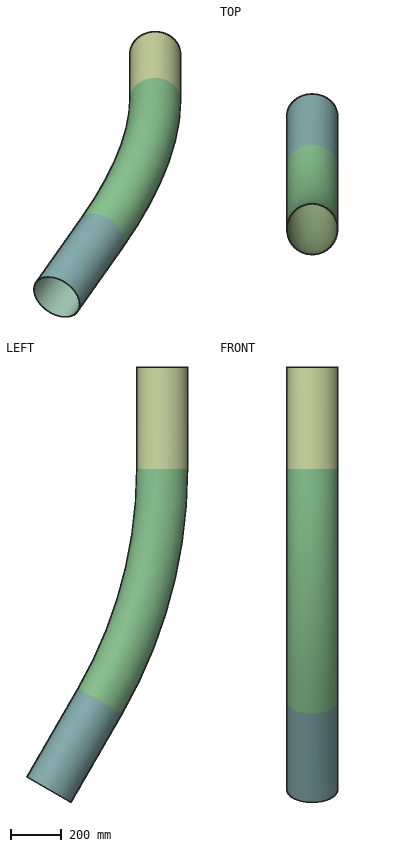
import cadquery as cq
import math

outer_diameter = 203.0
inner_diameter = 198.0
leg_length = 405.0
bend_angle = 30
bend_radius = 1834.0

angle = math.radians(bend_angle)


def bend_point(turn):
    """Centreline point (Y, Z) after turning through `turn` radians of the bend."""
    y = bend_radius * (1 - math.cos(turn))
    z = -leg_length - bend_radius * math.sin(turn)
    return y, z


bend_start = bend_point(0)
bend_middle = bend_point(angle / 2)
bend_end = bend_point(angle)
lower_end = (
    bend_end[0] + leg_length * math.sin(angle),
    bend_end[1] - leg_length * math.cos(angle),
)
centreline = (
    cq.Workplane("YZ")
    .moveTo(0, 0)
    .lineTo(*bend_start)
    .threePointArc(bend_middle, bend_end)
    .lineTo(*lower_end)
)

result = (
    cq.Workplane("XY")
    .circle(outer_diameter / 2)
    .circle(inner_diameter / 2)
    .sweep(centreline)
)